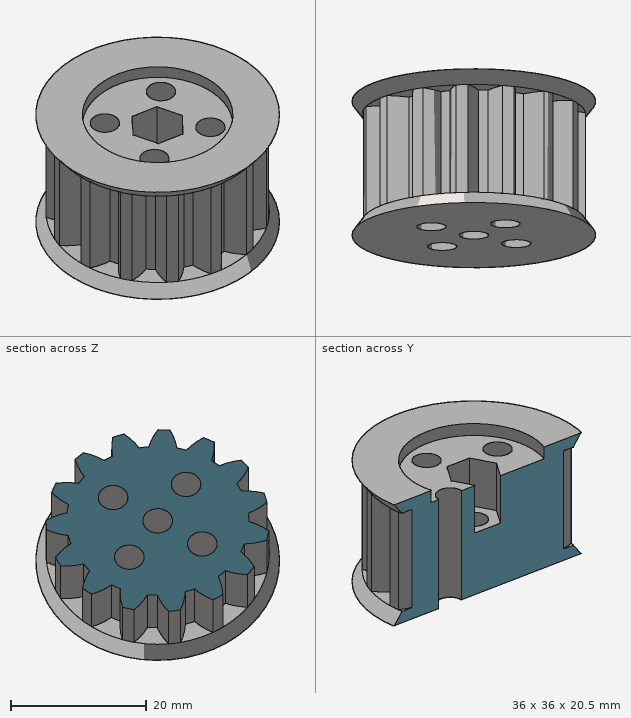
import cadquery as cq
import math

flange_radius = 18.0
body_radius = 16.5
total_height = 20.5
flange_height = 2.0
body_height = total_height - 2 * flange_height

tooth_count = 15
tooth_pitch_angle = 360.0 / tooth_count
first_groove_angle = 270.0
groove_floor_radius = 13.5
groove_floor_half_angle = 3.05
groove_mouth_half_angle = 8.9
flank_bulge = 0.15
groove_overrun = 1.0

recess_diameter = 22.2
recess_depth = 2.0
hex_across_flats = 7.4
hex_across_corners = hex_across_flats / math.cos(math.radians(30))
hex_depth = 8.0
hole_diameter = 4.3
hole_count = 4
hole_circle_radius = 7.8
first_hole_angle = 24.8


def polar(radius, angle):
    """Point at the given radius and angle (degrees) about the pulley axis."""
    a = math.radians(angle)
    return (radius * math.cos(a), radius * math.sin(a))


def flank_midpoint(floor_point, mouth_point, side):
    """Middle of a flank arc, pushed from its chord into the groove (side is the flank's sign in Y)."""
    dx = mouth_point[0] - floor_point[0]
    dy = mouth_point[1] - floor_point[1]
    length = math.hypot(dx, dy)
    mid_x = (floor_point[0] + mouth_point[0]) / 2
    mid_y = (floor_point[1] + mouth_point[1]) / 2
    return (
        mid_x + side * flank_bulge * dy / length,
        mid_y - side * flank_bulge * dx / length,
    )


def make_blank():
    """Toothless body between two flanges that flare towards the end faces."""
    half_profile = [
        (0, 0),
        (flange_radius, 0),
        (body_radius, flange_height),
        (body_radius, flange_height + body_height),
        (flange_radius, total_height),
        (0, total_height),
    ]
    return cq.Workplane("XZ").polyline(half_profile).close().revolve(360, (0, 0, 0), (0, 1, 0))


def make_groove():
    """Cutter for one belt groove centred on +X: arc floor and two convex flanks."""
    floor_left = polar(groove_floor_radius, groove_floor_half_angle)
    floor_right = polar(groove_floor_radius, -groove_floor_half_angle)
    mouth_left = polar(body_radius, groove_mouth_half_angle)
    mouth_right = polar(body_radius, -groove_mouth_half_angle)
    outer_x = body_radius + groove_overrun
    return (
        cq.Workplane("XY", origin=(0, 0, flange_height))
        .moveTo(*floor_right)
        .threePointArc((groove_floor_radius, 0), floor_left)
        .threePointArc(flank_midpoint(floor_left, mouth_left, 1), mouth_left)
        .lineTo(outer_x, mouth_left[1])
        .lineTo(outer_x, mouth_right[1])
        .lineTo(*mouth_right)
        .threePointArc(flank_midpoint(floor_right, mouth_right, -1), floor_right)
        .close()
        .extrude(body_height)
    )


def cut_grooves(pulley):
    groove = make_groove()
    for index in range(tooth_count):
        angle = first_groove_angle + index * tooth_pitch_angle
        pulley = pulley.cut(groove.rotate((0, 0, 0), (0, 0, 1), angle))
    return pulley


def cut_hub(pulley):
    """Round recess in the top, hex pocket in its floor, centre bore and a ring of through holes."""
    hub_floor = total_height - recess_depth
    recess = cq.Workplane("XY", origin=(0, 0, hub_floor)).circle(recess_diameter / 2).extrude(recess_depth)
    hex_pocket = (
        cq.Workplane("XY", origin=(0, 0, hub_floor))
        .polygon(6, hex_across_corners)
        .extrude(-hex_depth)
    )
    bore = cq.Workplane("XY").circle(hole_diameter / 2).extrude(total_height)
    hole_ring = (
        cq.Workplane("XY")
        .polarArray(hole_circle_radius, first_hole_angle, 360, hole_count)
        .circle(hole_diameter / 2)
        .extrude(total_height)
    )
    return pulley.cut(recess).cut(hex_pocket).cut(bore).cut(hole_ring)


result = cut_hub(cut_grooves(make_blank()))